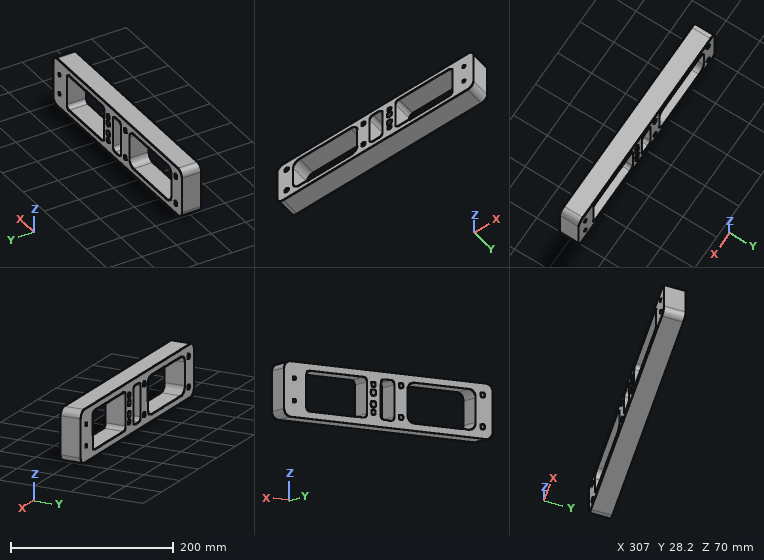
import cadquery as cq

length = 307.0
thickness = 28.2
height = 70.0
corner_radius = 9.5

window_height = 51.0
left_window_x = -78.3
left_window_width = 100.0
left_window_radius = 10.0
slot_x = 1.2
slot_width = 20.0
right_window_x = 76.0
right_window_width = 89.0
small_window_radius = 5.5

mount_diameter = 6.5
mount_spacing_x = 120.0
mount_spacing_z = 40.0
mount_x = -78.5

column_x = 22.0
column_outer_diameter = 6.5
column_outer_spacing = 35.0
column_inner_diameter = 8.0
column_inner_spacing = 14.7

end_hole_x = 138.5
end_hole_diameter = 4.3
end_hole_spacing = 28.2


def rounded_block(center_x, width, block_height, radius):
    """Block through the plate thickness, rounded along its Y edges."""
    block = cq.Workplane("XY").box(width, thickness, block_height)
    return block.edges("|Y").fillet(radius).translate((center_x, 0, 0))


def hole_pair(center_x, spacing, diameter):
    """Two through holes placed symmetrically above and below mid-height."""
    return (
        cq.Workplane("XZ")
        .pushPoints([(center_x, -spacing / 2), (center_x, spacing / 2)])
        .circle(diameter / 2)
        .extrude(thickness / 2, both=True)
    )


result = rounded_block(0, length, height, corner_radius)

windows = [
    (left_window_x, left_window_width, left_window_radius),
    (slot_x, slot_width, small_window_radius),
    (right_window_x, right_window_width, small_window_radius),
]
for center_x, width, radius in windows:
    result = result.cut(rounded_block(center_x, width, window_height, radius))

hole_pairs = [
    (mount_x - mount_spacing_x / 2, mount_spacing_z, mount_diameter),
    (mount_x + mount_spacing_x / 2, mount_spacing_z, mount_diameter),
    (column_x, column_outer_spacing, column_outer_diameter),
    (column_x, column_inner_spacing, column_inner_diameter),
    (end_hole_x, end_hole_spacing, end_hole_diameter),
]
for center_x, spacing, diameter in hole_pairs:
    result = result.cut(hole_pair(center_x, spacing, diameter))